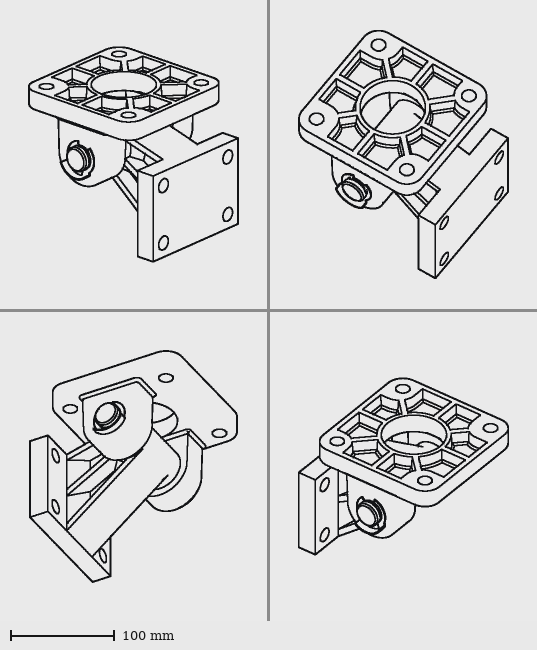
import cadquery as cq
import math


overall_length = 162.5
overall_width = 148.5

plate_side = 139.9
plate_thickness = 20.0
plate_corner_radius = 17.0
plate_edge_radius = 2.3
plate_bore_diameter = 63.0
bolt_hole_diameter = 13.8
bolt_offset = plate_side / 2 - plate_corner_radius

pocket_depth = 13.0
pocket_draft = 4.5
pocket_floor_chamfer = 2.0
pocket_outer_edge = 64.0
pocket_ring_radius = 35.9
pocket_rib = 6.0
boss_edge = 35.0
boss_radius = bolt_offset - boss_edge

pin_x = 2.6
pin_z = -55.0
pocket_shift = pin_x
pin_diameter = 25.0
pin_length = 146.9
pin_chamfer = 1.6
pin_groove_diameter = 21.1
pin_groove_width = 2.5

lug_span = 130.0
lug_gap = 69.0
lug_thickness = (lug_span - lug_gap) / 2
lug_radius = 30.0
lug_top_half_width = 30.9
lug_arc_drop = 4.4
lug_edge_radius = 2.3
lug_flare = 3.1

wall_thickness = 20.0
wall_width = 124.0
wall_height = 90.2
wall_top = -49.9
wall_outer_x = overall_length - plate_side / 2
wall_inner_x = wall_outer_x - wall_thickness
wall_bottom = wall_top - wall_height
wall_hole_diameter = 14.0
wall_hole_spacing = 93.6
wall_hole_edge = 15.0
barrel_diameter = 45.0
web_width = 50.0
web_core = 16.2
web_rib = 6.7
web_flare = (web_width - web_core) / 2
barrel_flare_radius = 32.5
barrel_flare_width = barrel_flare_radius - barrel_diameter / 2

clip_thickness = 1.1
clip_ring_radius = 17.0
clip_lip_radius = 20.0
clip_lip_length = (overall_width - lug_span) / 2
clip_tab_width = 12.4
clip_tab_thickness = 1.5
clip_gap_half_angle = 27
clip_lip_half_angle = 54
clip_tilts = (14.5, 12.5)


def middle_of_arc(center, start, end):
    """Point halfway along the shorter arc from start to end around center."""
    radius = math.dist(center, start)
    dx = (start[0] + end[0]) / 2 - center[0]
    dy = (start[1] + end[1]) / 2 - center[1]
    scale = radius / math.hypot(dx, dy)
    return (center[0] + dx * scale, center[1] + dy * scale)


def rib_side_point(along, sign_x, sign_y):
    """Point on the side of a diagonal rib, at a distance along it from the pattern centre."""
    x = (along - pocket_rib / 2) / math.sqrt(2)
    y = (along + pocket_rib / 2) / math.sqrt(2)
    return (pocket_shift + sign_x * x, pocket_shift + sign_y * y)


def make_pocket(sign_x, sign_y, swapped):
    """Drafted pocket of one quadrant, beside the Y axis, or beside the X axis if swapped."""
    rib_x = sign_x * pocket_rib / 2
    outer_y = sign_y * pocket_outer_edge
    boss_x = pocket_shift + sign_x * boss_edge
    boss_center = (pocket_shift + sign_x * bolt_offset, pocket_shift + sign_y * bolt_offset)

    along_center = -pocket_shift * (sign_x + sign_y) / math.sqrt(2)
    beside_center = pocket_rib / 2 + pocket_shift * (sign_y - sign_x) / math.sqrt(2)
    along_ring = along_center + math.sqrt(pocket_ring_radius**2 - beside_center**2)
    along_boss = bolt_offset * math.sqrt(2) - math.sqrt(boss_radius**2 - (pocket_rib / 2) ** 2)

    outer_rib = (rib_x, outer_y)
    outer_boss = (boss_x, outer_y)
    boss_start = (boss_x, boss_center[1])
    boss_end = rib_side_point(along_boss, sign_x, sign_y)
    ring_start = rib_side_point(along_ring, sign_x, sign_y)
    ring_end = (rib_x, sign_y * math.sqrt(pocket_ring_radius**2 - rib_x**2))
    boss_middle = middle_of_arc(boss_center, boss_start, boss_end)
    ring_middle = middle_of_arc((0, 0), ring_start, ring_end)

    def place(point):
        return (point[1], point[0]) if swapped else point

    return (
        cq.Workplane("XY")
        .moveTo(*place(outer_rib))
        .lineTo(*place(outer_boss))
        .lineTo(*place(boss_start))
        .threePointArc(place(boss_middle), place(boss_end))
        .lineTo(*place(ring_start))
        .threePointArc(place(ring_middle), place(ring_end))
        .close()
        .extrude(-pocket_depth, taper=pocket_draft)
        .faces("<Z")
        .chamfer(pocket_floor_chamfer)
    )


def y_cylinder(diameter, length):
    """Cylinder on the pin axis, centred on Y = 0."""
    return (
        cq.Workplane("XZ", origin=(pin_x, length / 2, pin_z))
        .circle(diameter / 2)
        .extrude(length)
    )


def make_lug():
    """Lug on the -Y side, with the flare that joins it to the plate."""
    arc_half_width = math.sqrt(lug_radius**2 - lug_arc_drop**2)
    flare_z = -plate_thickness - lug_flare
    top = flare_z - pin_z
    lug = (
        cq.Workplane("XZ", origin=(pin_x, -lug_gap / 2, pin_z))
        .moveTo(-lug_top_half_width, top)
        .lineTo(-arc_half_width, -lug_arc_drop)
        .threePointArc((0, -lug_radius), (arc_half_width, -lug_arc_drop))
        .lineTo(lug_top_half_width, top)
        .close()
        .extrude(lug_thickness)
    )
    lug = lug.faces("<Y").edges("not >Z").fillet(lug_edge_radius)
    flare = (
        cq.Workplane("XY", origin=(pin_x, -(lug_gap + lug_thickness) / 2, flare_z))
        .sketch()
        .rect(2 * lug_top_half_width, lug_thickness)
        .vertices("<Y")
        .fillet(lug_edge_radius)
        .finalize()
        .extrude(lug_flare, taper=-45)
    )
    return lug.union(flare)


def make_hinge_plate():
    """Ribbed plate with two lugs bored for the pin."""
    plate = (
        cq.Workplane("XY")
        .rect(plate_side, plate_side)
        .extrude(-plate_thickness)
        .edges("|Z")
        .fillet(plate_corner_radius)
        .faces("<Z")
        .edges()
        .fillet(plate_edge_radius)
    )
    lug = make_lug()
    plate = plate.union(lug).union(lug.mirror("XZ"))
    for sign_x in (-1, 1):
        for sign_y in (-1, 1):
            for swapped in (False, True):
                plate = plate.cut(make_pocket(sign_x, sign_y, swapped))
    bore = cq.Workplane("XY").circle(plate_bore_diameter / 2).extrude(-plate_thickness)
    bolt_holes = (
        cq.Workplane("XY")
        .rect(2 * bolt_offset, 2 * bolt_offset, forConstruction=True)
        .vertices()
        .circle(bolt_hole_diameter / 2)
        .extrude(-plate_thickness)
    )
    return plate.cut(bore).cut(bolt_holes).cut(y_cylinder(pin_diameter, lug_span))


def tangent_point(corner, side):
    """Point where the line from a corner (relative to the pin axis) touches the barrel."""
    radius = barrel_diameter / 2
    distance = math.hypot(*corner)
    angle = math.atan2(corner[1], corner[0]) + side * math.acos(radius / distance)
    return (radius * math.cos(angle), radius * math.sin(angle))


wall_upper = (wall_inner_x - pin_x, wall_top - pin_z)
wall_lower = (wall_inner_x - pin_x, wall_bottom - pin_z)
wall_middle = (wall_upper[0], (wall_upper[1] + wall_lower[1]) / 2)
upper_tangent = tangent_point(wall_upper, 1)
lower_tangent = tangent_point(wall_lower, -1)


def web_outline(width):
    """Solid of the web outline: from the wall plate edges tangent to the barrel."""
    return (
        cq.Workplane("XZ", origin=(pin_x, width / 2, pin_z))
        .polyline([(0, 0), upper_tangent, wall_upper, wall_lower, lower_tangent])
        .close()
        .extrude(width)
    )


def web_rib_bar(start, end, shift):
    """Bar along a line, overshooting both ends, moved sideways by shift times its thickness."""
    length = 3 * math.dist(start, end)
    angle = math.degrees(math.atan2(end[1] - start[1], end[0] - start[0]))
    bar = cq.Workplane("XY").box(length, web_width, web_rib)
    return (
        bar.translate((0, 0, shift * web_rib))
        .rotate((0, 0, 0), (0, 1, 0), -angle)
        .translate((pin_x + start[0], 0, pin_z + start[1]))
    )


def make_wall_bracket():
    """Wall plate with a ribbed web that carries the barrel between the lugs."""
    wall = cq.Workplane("XY").box(wall_thickness, wall_width, wall_height)
    wall = wall.translate((wall_outer_x - wall_thickness / 2, 0, wall_top - wall_height / 2))
    holes = (
        cq.Workplane("YZ", origin=(wall_inner_x, 0, wall_top - wall_height / 2))
        .rect(wall_hole_spacing, wall_height - 2 * wall_hole_edge, forConstruction=True)
        .vertices()
        .circle(wall_hole_diameter / 2)
        .extrude(wall_thickness)
    )

    outline = web_outline(web_width)
    ribs = web_rib_bar(upper_tangent, wall_upper, -0.5)
    ribs = ribs.union(web_rib_bar(lower_tangent, wall_lower, 0.5))
    ribs = ribs.union(web_rib_bar((0, 0), wall_middle, 0))

    wall_flare = (
        cq.Workplane("XY", origin=(0, 0, wall_bottom))
        .polyline(
            [
                (wall_inner_x - web_flare, -web_core / 2),
                (wall_inner_x, -web_width / 2),
                (wall_inner_x, web_width / 2),
                (wall_inner_x - web_flare, web_core / 2),
            ]
        )
        .close()
        .extrude(wall_height)
    )
    barrel_flare = (
        cq.Workplane("XY")
        .polyline(
            [
                (0, -web_core / 2 - barrel_flare_width),
                (barrel_diameter / 2, -web_core / 2 - barrel_flare_width),
                (barrel_flare_radius, -web_core / 2),
                (barrel_flare_radius, web_core / 2),
                (barrel_diameter / 2, web_core / 2 + barrel_flare_width),
                (0, web_core / 2 + barrel_flare_width),
            ]
        )
        .close()
        .revolve(360, (0, 0, 0), (0, 1, 0))
        .translate((pin_x, 0, pin_z))
    )
    web = ribs.union(wall_flare).union(barrel_flare).intersect(outline).union(web_outline(web_core))
    barrel = y_cylinder(barrel_diameter, lug_gap)
    return wall.cut(holes).union(web).union(barrel).cut(y_cylinder(pin_diameter, lug_gap))


def make_pin():
    """Pin with chamfered ends and a clip groove outside each lug."""
    pin = y_cylinder(pin_diameter, pin_length).faces("<Y or >Y").chamfer(pin_chamfer)
    grooves = y_cylinder(pin_diameter, lug_span + 2 * pin_groove_width)
    grooves = grooves.cut(y_cylinder(pin_groove_diameter, pin_length))
    return pin.cut(grooves.cut(y_cylinder(pin_diameter, lug_span)))


def sector(half_angle, radius, toward):
    """Wedge with its tip on the Y axis, opening up (toward = 1) or down (toward = -1)."""
    x = radius * math.tan(math.radians(half_angle))
    return (
        cq.Workplane("XZ")
        .polyline([(0, 0), (-x, toward * radius), (x, toward * radius)])
        .close()
        .extrude(pin_length)
    )


def make_clip(tilt):
    """Open ring in the -Y groove, tilted about the pin, with a lip bent outward opposite the gap."""
    base = -lug_span / 2
    bend_radius = clip_lip_radius - clip_ring_radius
    ring = (
        cq.Workplane("XZ", origin=(0, base, 0))
        .circle(clip_ring_radius)
        .extrude(clip_thickness)
        .cut(sector(clip_gap_half_angle, 2 * clip_ring_radius, 1))
    )
    full_cup = (
        cq.Workplane("XZ", origin=(0, base, 0))
        .circle(clip_lip_radius)
        .extrude(clip_lip_length)
        .faces(">Y")
        .edges()
        .fillet(bend_radius)
    )
    cup = full_cup.faces("<Y").shell(-clip_thickness)
    lip = cup.intersect(sector(clip_lip_half_angle, 2 * clip_lip_radius, -1))
    tab_outline = (
        cq.Workplane("XY")
        .box(clip_tab_width, pin_length, clip_lip_radius)
        .translate((0, 0, -clip_lip_radius / 2))
    )
    tab = (
        cq.Workplane("XZ", origin=(0, base, 0))
        .circle(clip_lip_radius - clip_thickness)
        .extrude(clip_tab_thickness)
        .intersect(tab_outline)
        .intersect(full_cup)
    )
    clip = ring.union(lip).union(tab).rotate((0, 0, 0), (0, 1, 0), tilt).translate((pin_x, 0, pin_z))
    return clip.cut(y_cylinder(pin_groove_diameter, pin_length))


hinge_plate = make_hinge_plate()
wall_bracket = make_wall_bracket()
pin = make_pin()

clips = []
for index, tilt in enumerate(clip_tilts):
    clip = make_clip(tilt)
    if index == 1:
        clip = clip.mirror("XZ")
    clips.append(clip.val())

result = cq.Compound.makeCompound([hinge_plate.val(), wall_bracket.val(), pin.val(), *clips])